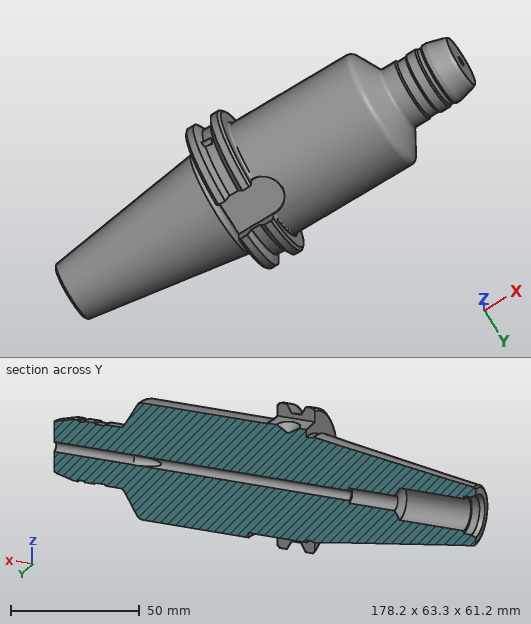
import cadquery as cq
import math

TOTAL_LENGTH = 178.2

TAPER_RATE = 7 / 24
GAUGE_X = 68.3
GAUGE_RADIUS = 22.3
RELIEF_X = 69.9
RELIEF_RADIUS = 43.7 / 2
TAPER_END_CHAMFER = 0.7

FLANGE_START = 71.5
FLANGE_END = 87.3
FLANGE_RADIUS = 63.3 / 2
FLANGE_REAR_CHAMFER = 1.0
FLANGE_FRONT_CHAMFER = 0.9
V_GROOVE_X = 79.3
V_GROOVE_FLOOR = 4.0
V_GROOVE_RADIUS = 28.2
V_GROOVE_WALL_ANGLE = 30

BODY_RADIUS = 24.8
FLANGE_BLEND = 0.9
SHOULDER_X = 142.5
SHOULDER_ANGLE = 60
SHOULDER_BLEND = 3.2
STEM_BLEND = 1.8

STEM_RADIUS = 13.0
STEM_GROOVE_RADIUS = 12.5
GROOVE_WALL_RUN = 0.7
WIDE_GROOVE = (156.1, 161.3)
NARROW_GROOVE = (165.2, 168.3)
NOSE_START = 170.2
NOSE_ANGLE = 15
TIP_CHAMFER_X = 176.8
TIP_RADIUS = 10.5

SLOT_WIDTH = 16.2
UPPER_SLOT_FLOOR = 25.0
LOWER_SLOT_FLOOR = 22.8
LOWER_SLOT_END = 96.0
DIMPLE_RADIUS = 9.5 / 2

BORE_MOUTH_RADIUS = 9.0
COUNTERBORE_RADIUS = 7.8
BORE_MOUTH_DEPTH = 1.8
COUNTERBORE_DEPTH = 5.0
THREAD_RADIUS = 13.4 / 2
THREAD_DEPTH = 32.0
PASSAGE_RADIUS = 3.0
PASSAGE_DEPTH = 53.5
THROUGH_RADIUS = 2.0
DRILL_POINT_HALF_ANGLE = 59

PORT_ANGLE = 20
PORT_RADIUS = 2.1
PORT_PITCH_RADIUS = 27.1
PORT_END = 80.2
DUCT_RADIUS = 2.0
DUCT_PITCH_RADIUS = 26.7
DUCT_TILT = 20


def tangent(degrees):
    return math.tan(math.radians(degrees))


def revolve_about_x(profile):
    return profile.close().revolve(360, (0, 0, 0), (1, 0, 0))


def stem_groove(profile, start, end):
    """Continue the stem outline through a shallow groove with sloped walls."""
    return (
        profile.lineTo(start, STEM_RADIUS)
        .lineTo(start + GROOVE_WALL_RUN, STEM_GROOVE_RADIUS)
        .lineTo(end - GROOVE_WALL_RUN, STEM_GROOVE_RADIUS)
        .lineTo(end, STEM_RADIUS)
    )


def taper_and_body():
    small_end_radius = GAUGE_RADIUS - GAUGE_X * TAPER_RATE / 2
    chamfer_radius = small_end_radius - TAPER_END_CHAMFER
    bend = tangent(SHOULDER_ANGLE / 2)
    cosine = math.cos(math.radians(SHOULDER_ANGLE))
    sine = math.sin(math.radians(SHOULDER_ANGLE))
    outer = SHOULDER_BLEND * bend
    inner = STEM_BLEND * bend
    stem_x = SHOULDER_X + (BODY_RADIUS - STEM_RADIUS) / tangent(SHOULDER_ANGLE)
    nose_end_radius = STEM_RADIUS - (TIP_CHAMFER_X - NOSE_START) * tangent(NOSE_ANGLE)

    profile = (
        cq.Workplane("XY")
        .moveTo(0, 0)
        .lineTo(0, chamfer_radius)
        .lineTo(TAPER_END_CHAMFER, small_end_radius + TAPER_END_CHAMFER * TAPER_RATE / 2)
        .lineTo(GAUGE_X, GAUGE_RADIUS)
        .lineTo(RELIEF_X, RELIEF_RADIUS)
        .lineTo(FLANGE_START, RELIEF_RADIUS)
        .lineTo(FLANGE_END, BODY_RADIUS + FLANGE_BLEND)
        .radiusArc((FLANGE_END + FLANGE_BLEND, BODY_RADIUS), -FLANGE_BLEND)
        .lineTo(SHOULDER_X - outer, BODY_RADIUS)
        .radiusArc((SHOULDER_X + outer * cosine, BODY_RADIUS - outer * sine), SHOULDER_BLEND)
        .lineTo(stem_x - inner * cosine, STEM_RADIUS + inner * sine)
        .radiusArc((stem_x + inner, STEM_RADIUS), -STEM_BLEND)
    )
    profile = stem_groove(profile, *WIDE_GROOVE)
    profile = stem_groove(profile, *NARROW_GROOVE)
    profile = (
        profile.lineTo(NOSE_START, STEM_RADIUS)
        .lineTo(TIP_CHAMFER_X, nose_end_radius)
        .lineTo(TOTAL_LENGTH, TIP_RADIUS)
        .lineTo(TOTAL_LENGTH, 0)
    )
    return revolve_about_x(profile)


def flange():
    half_floor = V_GROOVE_FLOOR / 2
    half_mouth = half_floor + (FLANGE_RADIUS - V_GROOVE_RADIUS) * tangent(V_GROOVE_WALL_ANGLE)
    profile = (
        cq.Workplane("XY")
        .moveTo(FLANGE_START, 0)
        .lineTo(FLANGE_START, FLANGE_RADIUS - FLANGE_FRONT_CHAMFER)
        .lineTo(FLANGE_START + FLANGE_FRONT_CHAMFER, FLANGE_RADIUS)
        .lineTo(V_GROOVE_X - half_mouth, FLANGE_RADIUS)
        .lineTo(V_GROOVE_X - half_floor, V_GROOVE_RADIUS)
        .lineTo(V_GROOVE_X + half_floor, V_GROOVE_RADIUS)
        .lineTo(V_GROOVE_X + half_mouth, FLANGE_RADIUS)
        .lineTo(FLANGE_END - FLANGE_REAR_CHAMFER, FLANGE_RADIUS)
        .lineTo(FLANGE_END, FLANGE_RADIUS - FLANGE_REAR_CHAMFER)
        .lineTo(FLANGE_END, 0)
    )
    return revolve_about_x(profile)


def drive_slots():
    upper_slot_length = FLANGE_END + FLANGE_BLEND - FLANGE_START
    upper_slot = (
        cq.Workplane("XY")
        .box(upper_slot_length, SLOT_WIDTH, FLANGE_RADIUS, centered=(False, True, False))
        .translate((FLANGE_START, 0, UPPER_SLOT_FLOOR))
    )

    end_center_x = LOWER_SLOT_END - SLOT_WIDTH / 2
    half_width = SLOT_WIDTH / 2
    lower_slot = (
        cq.Workplane("XY", origin=(0, 0, -LOWER_SLOT_FLOOR))
        .moveTo(FLANGE_START, -half_width)
        .lineTo(end_center_x, -half_width)
        .threePointArc((LOWER_SLOT_END, 0), (end_center_x, half_width))
        .lineTo(FLANGE_START, half_width)
        .close()
        .extrude(-FLANGE_RADIUS)
    )
    return upper_slot.union(lower_slot)


def dimple():
    """Drill-point dimple in the floor of the upper slot."""
    depth = DIMPLE_RADIUS / tangent(DRILL_POINT_HALF_ANGLE)
    cone = cq.Solid.makeCone(
        DIMPLE_RADIUS, 0, depth, cq.Vector(V_GROOVE_X, 0, UPPER_SLOT_FLOOR), cq.Vector(0, 0, -1)
    )
    return cq.Workplane(obj=cone)


def axial_bore():
    point_depth = (THREAD_RADIUS - PASSAGE_RADIUS) / tangent(DRILL_POINT_HALF_ANGLE)
    profile = (
        cq.Workplane("XY")
        .moveTo(0, 0)
        .lineTo(0, BORE_MOUTH_RADIUS)
        .lineTo(BORE_MOUTH_DEPTH, COUNTERBORE_RADIUS)
        .lineTo(COUNTERBORE_DEPTH, COUNTERBORE_RADIUS)
        .lineTo(COUNTERBORE_DEPTH, THREAD_RADIUS)
        .lineTo(THREAD_DEPTH, THREAD_RADIUS)
        .lineTo(THREAD_DEPTH + point_depth, PASSAGE_RADIUS)
        .lineTo(PASSAGE_DEPTH, PASSAGE_RADIUS)
        .lineTo(PASSAGE_DEPTH, THROUGH_RADIUS)
        .lineTo(TOTAL_LENGTH, THROUGH_RADIUS)
        .lineTo(TOTAL_LENGTH, 0)
    )
    return revolve_about_x(profile)


def coolant_port():
    """Axial port in the flange face with a duct slanting in to the axis."""
    duct_length = DUCT_PITCH_RADIUS / math.sin(math.radians(DUCT_TILT))
    port = cq.Solid.makeCylinder(
        PORT_RADIUS,
        PORT_END - FLANGE_START,
        cq.Vector(FLANGE_START, PORT_PITCH_RADIUS, 0),
        cq.Vector(1, 0, 0),
    )
    point = cq.Solid.makeCone(
        PORT_RADIUS,
        0,
        PORT_RADIUS / tangent(DRILL_POINT_HALF_ANGLE),
        cq.Vector(PORT_END, PORT_PITCH_RADIUS, 0),
        cq.Vector(1, 0, 0),
    )
    duct = cq.Solid.makeCylinder(
        DUCT_RADIUS,
        duct_length,
        cq.Vector(FLANGE_START, DUCT_PITCH_RADIUS, 0),
        cq.Vector(1, -tangent(DUCT_TILT), 0),
    )
    return cq.Workplane(obj=port).union(cq.Workplane(obj=point)).union(cq.Workplane(obj=duct))


result = taper_and_body().union(flange()).cut(drive_slots()).cut(dimple()).cut(axial_bore())
for angle in (PORT_ANGLE, PORT_ANGLE + 180):
    result = result.cut(coolant_port().rotate((0, 0, 0), (1, 0, 0), angle))